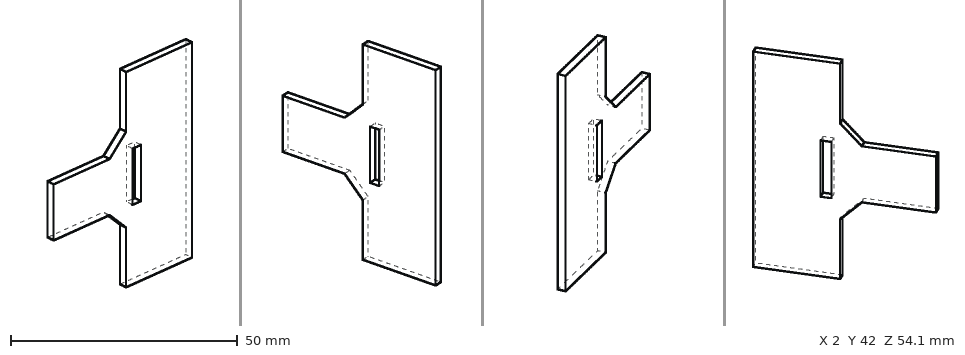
import cadquery as cq

thickness = 2.0
plate_width = 20.0
shoulder_height = 15.0
taper = 5.0
tab_height = 14.11
tab_length = 17.0
slot_width = 2.5
slot_edge_gap = 2.0

total_width = plate_width + taper + tab_length
plate_half_height = tab_height / 2 + taper + shoulder_height
taper_half_height = tab_height / 2 + taper
back_y = total_width / 2
shoulder_y = back_y - plate_width
tab_root_y = shoulder_y - taper
tab_end_y = -total_width / 2
slot_center_y = shoulder_y + slot_edge_gap + slot_width / 2


def make_plate():
    """Flat T-shaped plate: tall plate tapering into a tab toward -Y."""
    upper_outline = [
        (back_y, plate_half_height),
        (shoulder_y, plate_half_height),
        (shoulder_y, taper_half_height),
        (tab_root_y, tab_height / 2),
        (tab_end_y, tab_height / 2),
    ]
    lower_outline = [(y, -z) for y, z in reversed(upper_outline)]
    outline = cq.Workplane("YZ").polyline(upper_outline + lower_outline).close()
    return outline.extrude(thickness / 2, both=True)


def make_slot():
    """Through slot as tall as the tab, so a matching tab can pass through it."""
    return cq.Workplane("XY").box(thickness, slot_width, tab_height).translate((0, slot_center_y, 0))


result = make_plate().cut(make_slot())